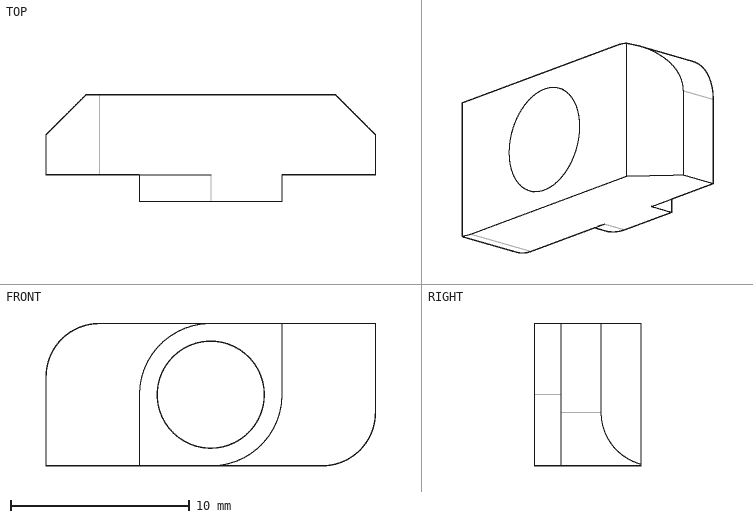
import cadquery as cq

length = 18.5
height = 8.0
body_depth = 4.5
boss_depth = 1.5

body_corner_radius = 3.0
end_chamfer = body_depth / 2
boss_width = height
boss_corner_radius = boss_width / 2
hole_diameter = 6.0


def diagonal_plate(width, corner_radius, depth, front_y):
    """Plate with two opposite corners rounded: upper -X and lower +X."""
    half_width = width / 2
    half_height = height / 2
    mid_arc = corner_radius * (1 - 0.5**0.5)
    return (
        cq.Workplane("XZ", origin=(0, front_y + depth, 0))
        .moveTo(-half_width, -half_height)
        .lineTo(-half_width, half_height - corner_radius)
        .threePointArc(
            (-half_width + mid_arc, half_height - mid_arc),
            (-half_width + corner_radius, half_height),
        )
        .lineTo(half_width, half_height)
        .lineTo(half_width, -half_height + corner_radius)
        .threePointArc(
            (half_width - mid_arc, -half_height + mid_arc),
            (half_width - corner_radius, -half_height),
        )
        .close()
        .extrude(depth)
    )


def chamfered_envelope():
    """Bar along X whose two vertical back edges are cut at 45 degrees."""
    bar = cq.Workplane("XY").box(length, body_depth, height, centered=(True, False, True))
    return bar.faces(">Y").edges("|Z").chamfer(end_chamfer)


def through_hole():
    """Cylinder along Y through the boss and the body."""
    return (
        cq.Workplane("XZ", origin=(0, body_depth, 0))
        .circle(hole_diameter / 2)
        .extrude(body_depth + boss_depth)
    )


body = diagonal_plate(length, body_corner_radius, body_depth, 0).intersect(chamfered_envelope())
boss = diagonal_plate(boss_width, boss_corner_radius, boss_depth, -boss_depth)

result = body.union(boss).cut(through_hole())